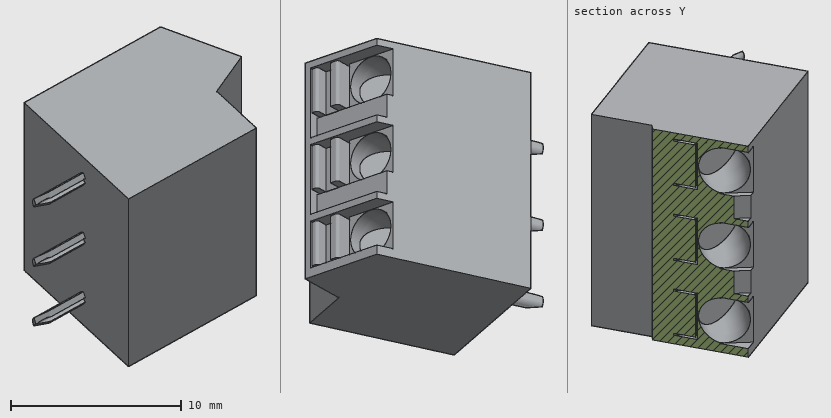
import cadquery as cq
import math

body_width = 10.0
body_length = 14.1
body_depth = 12.4
shoulder_y = 9.5
shoulder_x = 6.2
slope_angle = 25.0
slope_sin = math.sin(math.radians(slope_angle))
slope_cos = math.cos(math.radians(slope_angle))
slope_tan = slope_sin / slope_cos
ridge_x = shoulder_x - (body_depth - shoulder_y) * slope_tan
slope_length = ridge_x / slope_cos

pole_count = 3
pole_pitch = 5.0
first_pin_z = 2.28
pin_length = 3.5

pocket_wall = 0.4
pocket_depth = 0.98
pocket_length = 3.05
first_pocket_z = 0.6
step_depth = 0.6
step_length = 1.5
pocket_end = slope_length + pocket_depth

funnel_radius = 1.5
funnel_centre = 4.13
funnel_straight_end = 1.86
throat_taper = 3.0
guide_angle = 36.0
guide_ledge = 0.02
guide_drop = (2 * funnel_radius - guide_ledge) / math.tan(math.radians(guide_angle))

button_gap = 0.1
button_start = pocket_wall + button_gap
button_end = 2.45
button_slot_depth = 2.2
groove_start = 0.93
groove_end = 1.9
groove_depth = 0.8
button_round = 0.18

pin_back_x = 5.32
lip_start_x = 0.26
lip_start_z = 0.445
lip_tip_x = 0.36
lip_tip_z = 0.52
inner_corner_x = 0.55
inner_corner_z = 0.18
inner_middle_x = 0.36
pin_taper_length = 0.95
pin_taper_inset = 0.29


def slope_plane(z):
    """Frame at the ridge: local X runs down the slope, local Z points out of it."""
    return cq.Plane(
        origin=(ridge_x, body_depth, z),
        xDir=(-slope_cos, -slope_sin, 0),
        normal=(-slope_sin, slope_cos, 0),
    )


def slope_box(start, end, z, length, depth):
    """Box sunk into the slope from start to end along it, centred on height z."""
    return (
        cq.Workplane(slope_plane(z))
        .center((start + end) / 2, 0)
        .rect(end - start, length)
        .extrude(-depth)
    )


def make_housing():
    outline = [
        (0, 0),
        (body_width, 0),
        (body_width, shoulder_y),
        (shoulder_x, shoulder_y),
        (ridge_x, body_depth),
        (0, body_depth - ridge_x * slope_tan),
    ]
    return cq.Workplane("XY").polyline(outline).close().extrude(body_length)


def make_funnel(z):
    mouth = (
        cq.Workplane(slope_plane(z))
        .center(funnel_centre, 0)
        .circle(funnel_radius)
        .extrude(-funnel_straight_end)
    )
    throat = (
        cq.Workplane(slope_plane(z))
        .workplane(offset=-funnel_straight_end)
        .center(funnel_centre, 0)
        .circle(funnel_radius)
        .extrude(-guide_drop, taper=throat_taper)
    )
    near_wall = funnel_centre - funnel_radius
    far_wall = funnel_centre + funnel_radius
    throat_bottom = funnel_straight_end + guide_drop
    guide = (
        cq.Workplane(slope_plane(z))
        .transformed(rotate=(90, 0, 0))
        .polyline([
            (near_wall, -funnel_straight_end),
            (near_wall + guide_ledge, -funnel_straight_end),
            (far_wall, -throat_bottom),
            (near_wall, -throat_bottom),
        ])
        .close()
        .extrude(funnel_radius, both=True)
    )
    return mouth.union(throat.cut(guide))


def make_button(z):
    length = pocket_length - 2 * button_gap
    button = slope_box(button_start, button_end, z, length, button_slot_depth)
    groove = slope_box(groove_start, groove_end, z, length, groove_depth)
    button = button.cut(groove)
    for edge_distance in (groove_start, button_end):
        edge_point = slope_plane(z).toWorldCoords((edge_distance, 0, 0)).toTuple()
        button = button.edges(cq.selectors.NearestToPointSelector(edge_point)).fillet(button_round)
    return button


def cut_pole(body, pole):
    start_z = first_pocket_z + pole * pole_pitch
    middle_z = start_z + pocket_length / 2
    body = body.cut(slope_box(pocket_wall, pocket_end, middle_z, pocket_length, pocket_depth))
    slot_end = button_end + button_gap
    body = body.cut(slope_box(pocket_wall, slot_end, middle_z, pocket_length, button_slot_depth))
    body = body.cut(make_funnel(middle_z))
    if pole > 0:
        step_z = start_z - step_length / 2
        body = body.cut(slope_box(pocket_wall, pocket_end, step_z, step_length, step_depth))
    return body.union(make_button(middle_z))


def make_pin(z):
    pin = (
        cq.Workplane("XZ", origin=(pin_back_x, 0, z))
        .moveTo(lip_tip_x, lip_tip_z)
        .lineTo(lip_start_x, lip_start_z)
        .threePointArc((0, 0), (lip_start_x, -lip_start_z))
        .lineTo(lip_tip_x, -lip_tip_z)
        .lineTo(inner_corner_x, -inner_corner_z)
        .threePointArc((inner_middle_x, 0), (inner_corner_x, inner_corner_z))
        .close()
        .extrude(pin_length)
    )
    for side in (1, -1):
        end_edge = cq.Plane(
            origin=(pin_back_x + lip_tip_x, -pin_length, z + side * lip_tip_z),
            xDir=(inner_corner_z - lip_tip_z, 0, side * (lip_tip_x - inner_corner_x)),
            normal=(side * (inner_corner_x - lip_tip_x), 0, inner_corner_z - lip_tip_z),
        )
        taper = (
            cq.Workplane(end_edge)
            .polyline([(0, pin_taper_length), (pin_taper_inset, 0), (0, 0)])
            .close()
            .extrude(lip_tip_z, both=True)
        )
        pin = pin.cut(taper)
    return pin


result = make_housing()
for pole_index in range(pole_count):
    result = cut_pole(result, pole_index)
    result = result.union(make_pin(first_pin_z + pole_index * pole_pitch))